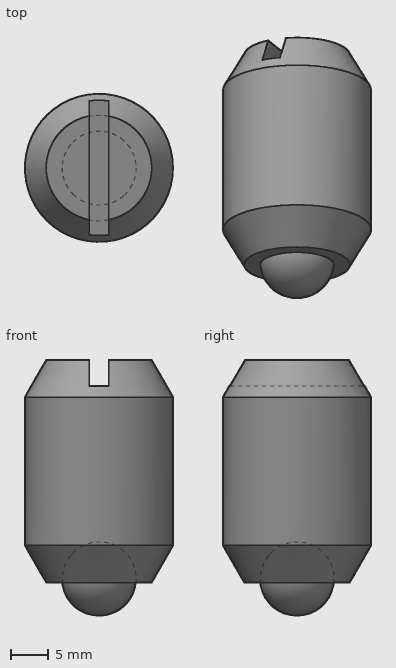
import cadquery as cq
import math

TOTAL_HEIGHT = 34.5
BODY_HEIGHT = 30.0
BODY_RADIUS = 10.0
TAPER_HEIGHT = 5.0
TAPER_ANGLE = 30.0
SLOT_WIDTH = 2.6
SLOT_DEPTH = 3.5
BALL_RADIUS = 5.0

END_RADIUS = BODY_RADIUS - TAPER_HEIGHT * math.tan(math.radians(TAPER_ANGLE))
BALL_PROTRUSION = TOTAL_HEIGHT - BODY_HEIGHT
BALL_CENTER_Z = BALL_RADIUS - BALL_PROTRUSION


def make_ball():
    """Ball held captive because its centre lies just inside the end face."""
    return cq.Workplane("XY").sphere(BALL_RADIUS).translate((0, 0, BALL_CENTER_Z))


def make_barrel():
    """Cylinder with equal tapers at both ends, revolved about Z."""
    return (
        cq.Workplane("XZ")
        .moveTo(0, 0)
        .lineTo(END_RADIUS, 0)
        .lineTo(BODY_RADIUS, TAPER_HEIGHT)
        .lineTo(BODY_RADIUS, BODY_HEIGHT - TAPER_HEIGHT)
        .lineTo(END_RADIUS, BODY_HEIGHT)
        .lineTo(0, BODY_HEIGHT)
        .close()
        .revolve(360, (0, 0, 0), (0, 1, 0))
    )


def make_slot_cutter():
    """Screwdriver slot across the top face, running along Y."""
    return (
        cq.Workplane("XY", origin=(0, 0, BODY_HEIGHT - SLOT_DEPTH))
        .rect(SLOT_WIDTH, 2 * BODY_RADIUS)
        .extrude(SLOT_DEPTH)
    )


def make_housing():
    """Slotted barrel with a spherical socket that matches the ball."""
    return make_barrel().cut(make_slot_cutter()).cut(make_ball())


housing = make_housing()
ball = make_ball()

result = cq.Compound.makeCompound([housing.val(), ball.val()])